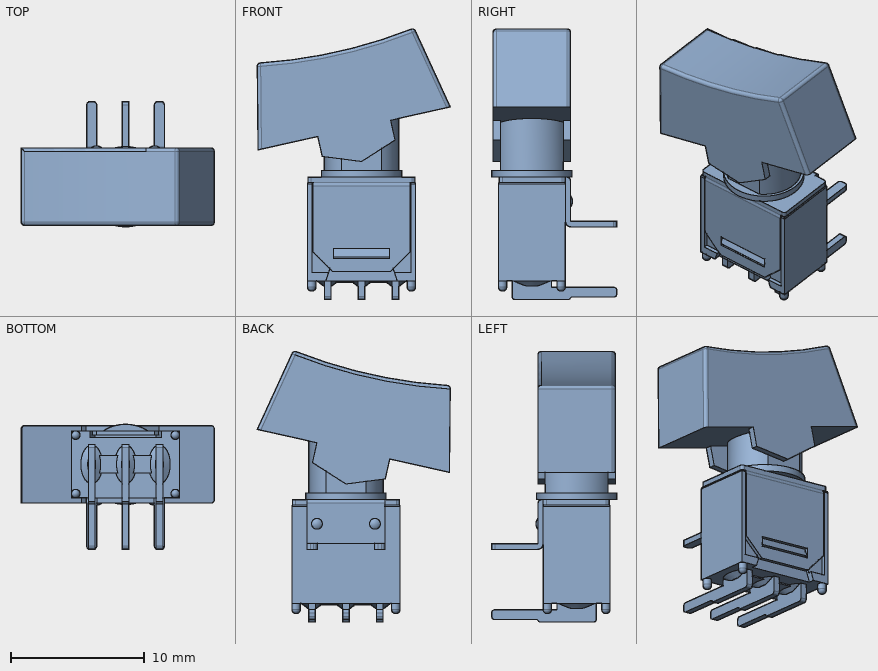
import cadquery as cq
import math


housing_length = 8.1
housing_depth = 5.02
housing_height = 7.36
housing_top_chamfer = 0.12
top_plate_inset = 0.05
housing_front = -housing_depth / 2
housing_back = housing_depth / 2

recess_length = 7.38
recess_depth = 0.3
recess_bottom = 0.65
notch_bottom_length = 5.35
notch_top_length = 4.53
notch_height = 1.21
notch_depth = 0.5

foot_diameter = 0.65
foot_straight_length = 0.45
foot_x = (housing_length - foot_diameter) / 2
foot_y = (housing_depth - foot_diameter) / 2

terminal_pitch = 2.53
terminal_thickness = 0.5
terminal_positions = [-terminal_pitch, 0, terminal_pitch]
pin_tip = 6.35
pin_top = -0.47
pin_bottom = -1.21
terminal_bottom = -1.4
terminal_half_depth = 1.48
terminal_step_y = 2.95
terminal_corner = 0.22
terminal_step = pin_bottom - terminal_bottom
pin_tip_radius = 0.25

resin_height = 0.38
resin_base_length = 1.62
resin_base_depth = 2.87
resin_tip_length = 0.6
resin_tip_depth = 1.3
resin_film_height = 0.1
resin_film_depth = resin_tip_depth

sheet = 0.38
front_sheet = recess_depth
front_shoulder_depth = 0.06
frame_top = housing_height + sheet
top_plate_length = housing_length - 2 * top_plate_inset
top_plate_front = housing_front + front_shoulder_depth
top_plate_corner = 0.25
front_plate_length = 7.25
front_plate_bottom = 0.7
front_plate_chamfer = 1.45
front_plate_shoulder = 7.1
back_plate_outer = housing_back + sheet
top_bend_radius = 0.26
bend_inner_radius = 0.06
bend_outer_radius = bend_inner_radius + sheet

window_length = 4.19
window_bottom = 1.65
window_top = 2.43
latch_bottom = 1.8

leg_width = 0.77
leg_thickness = 0.45
leg_top = 4.47
leg_bottom = leg_top - leg_thickness
leg_tip_radius = 0.26
back_plate_length = 2 * terminal_pitch + leg_width

dimple_diameter = 0.8
dimple_height = 0.16
dimple_x = 2.16
dimple_z = 5.95

collar_diameter = 6.0
collar_height = 0.5
stem_diameter = 5.58
stem_width = 4.71
stem_top = 12.55

rocker_tilt = 12.6
rocker_lowest_z = 8.92
rocker_width = 5.8
rocker_bottom_half = 7.36
rocker_bottom = 2.53
rocker_top_half = 6.0
rocker_top = 8.88
rocker_dip = 0.49
skirt_half = stem_diameter / 2
skirt_slope = 20.0
skirt_shoulder = skirt_half * math.tan(math.radians(skirt_slope))
rocker_fillet = 0.26


def centred_box(length, y_range, z_range):
    """Box centred on X = 0, between the given limits along Y and Z."""
    depth = y_range[1] - y_range[0]
    height = z_range[1] - z_range[0]
    solid = cq.Workplane("XY").box(length, depth, height, centered=(True, False, False))
    return solid.translate((0, y_range[0], z_range[0]))


def make_terminal(x):
    """Flat terminal whose pin points to +Y."""
    profile = (
        cq.Workplane("YZ")
        .moveTo(-terminal_half_depth, 0)
        .lineTo(-terminal_half_depth, terminal_bottom + terminal_corner)
        .radiusArc((-terminal_half_depth + terminal_corner, terminal_bottom), -terminal_corner)
        .lineTo(terminal_step_y - terminal_step, terminal_bottom)
        .lineTo(terminal_step_y, pin_bottom)
        .lineTo(pin_tip, pin_bottom)
        .lineTo(pin_tip, pin_top)
        .lineTo(terminal_half_depth, pin_top)
        .lineTo(terminal_half_depth, 0)
        .close()
    )
    terminal = profile.extrude(terminal_thickness / 2, both=True)
    terminal = terminal.faces(">Y").edges("|X").fillet(pin_tip_radius)
    return terminal.translate((x, 0, 0))


def make_foot():
    """Standoff foot with a round end, hanging from Z = 0."""
    radius = foot_diameter / 2
    return (
        cq.Workplane("XZ")
        .lineTo(radius, 0)
        .lineTo(radius, -foot_straight_length)
        .radiusArc((0, -foot_straight_length - radius), radius)
        .close()
        .revolve(360, (0, 0, 0), (0, 1, 0))
    )


def make_resin():
    """Resin mounds around the terminals, joined by a thin film."""
    film_length = terminal_positions[-1] - terminal_positions[0]
    film_y = (-resin_film_depth / 2, resin_film_depth / 2)
    resin = centred_box(film_length, film_y, (-resin_film_height, 0))
    mound = (
        cq.Workplane("XY")
        .ellipse(resin_base_length / 2, resin_base_depth / 2)
        .workplane(offset=-resin_height)
        .ellipse(resin_tip_length / 2, resin_tip_depth / 2)
        .loft(ruled=True)
    )
    for x in terminal_positions:
        resin = resin.union(mound.translate((x, 0, 0)))
    return resin


def make_latch():
    """Wedge that rises from the recess floor to the housing front, towards its lower end."""
    recess_floor = housing_front + recess_depth
    return (
        cq.Workplane("YZ")
        .moveTo(recess_floor, window_top)
        .lineTo(housing_front, latch_bottom)
        .lineTo(recess_floor, latch_bottom)
        .close()
        .extrude(window_length / 2, both=True)
    )


def make_housing():
    """Housing block with its front recess, latch, feet and resin."""
    body = centred_box(housing_length, (housing_front, housing_back), (0, housing_height))
    body = body.faces(">Z").edges().chamfer(housing_top_chamfer, top_plate_inset)
    recess_y = (housing_front, housing_front + recess_depth)
    body = body.cut(centred_box(recess_length, recess_y, (recess_bottom, housing_height)))
    notch = (
        cq.Workplane("XZ", origin=(0, housing_front, 0))
        .moveTo(-notch_bottom_length / 2, 0)
        .lineTo(notch_bottom_length / 2, 0)
        .lineTo(notch_top_length / 2, notch_height)
        .lineTo(-notch_top_length / 2, notch_height)
        .close()
        .extrude(-notch_depth)
    )
    body = body.cut(notch).union(make_latch()).union(make_resin())
    foot = make_foot()
    for x in (-foot_x, foot_x):
        for y in (-foot_y, foot_y):
            body = body.union(foot.translate((x, y, 0)))
    return body


def make_stem():
    """Round stem with two flats, from the frame top to the stem top."""
    height = stem_top - frame_top
    stem = cq.Workplane("XY").workplane(offset=frame_top).circle(stem_diameter / 2).extrude(height)
    flats = centred_box(stem_diameter, (-stem_width / 2, stem_width / 2), (frame_top, stem_top))
    return stem.intersect(flats)


def make_top_plate():
    """Plate over the housing with rounded corners."""
    plate = centred_box(top_plate_length, (top_plate_front, housing_back), (housing_height, frame_top))
    return plate.edges("|Z").fillet(top_plate_corner)


def make_front_plate():
    """Plate in the housing recess, with cut corners, a latch window and a sloped shoulder."""
    inner = housing_front + front_sheet
    plate = (
        cq.Workplane("YZ")
        .moveTo(housing_front, front_plate_bottom)
        .lineTo(housing_front, front_plate_shoulder)
        .lineTo(top_plate_front, housing_height)
        .lineTo(inner, housing_height)
        .lineTo(inner, front_plate_bottom)
        .close()
        .extrude(front_plate_length / 2, both=True)
    )
    plate = plate.faces("<Z").edges("|Y").chamfer(front_plate_chamfer)
    return plate.cut(centred_box(window_length, (housing_front, inner), (window_bottom, window_top)))


def make_leg():
    """Leg that hangs from the back plate and bends to point to +Y, with a rounded tip."""
    leg = (
        cq.Workplane("YZ")
        .moveTo(housing_back, dimple_z)
        .lineTo(housing_back, leg_bottom + bend_outer_radius)
        .radiusArc((housing_back + bend_outer_radius, leg_bottom), -bend_outer_radius)
        .lineTo(pin_tip, leg_bottom)
        .lineTo(pin_tip, leg_top)
        .lineTo(back_plate_outer + bend_inner_radius, leg_top)
        .radiusArc((back_plate_outer, leg_top + bend_inner_radius), bend_inner_radius)
        .lineTo(back_plate_outer, dimple_z)
        .close()
        .extrude(leg_width / 2, both=True)
    )
    return leg.faces(">Y").edges("|Z").fillet(leg_tip_radius)


def make_dimple():
    """Shallow spherical dimple centred on the Y axis, standing out of the back plate."""
    radius = dimple_diameter / 2
    sphere_radius = (radius**2 + dimple_height**2) / (2 * dimple_height)
    return (
        cq.Workplane("XY")
        .moveTo(0, back_plate_outer)
        .lineTo(radius, back_plate_outer)
        .radiusArc((0, back_plate_outer + dimple_height), -sphere_radius)
        .close()
        .revolve(360, (0, 0, 0), (0, 1, 0))
    )


def make_back_plate():
    """Plate behind the housing, with two legs and two dimples."""
    plate_y = (housing_back, back_plate_outer)
    plate = centred_box(back_plate_length, plate_y, (leg_top, frame_top))
    plate = plate.faces(">Y").edges(">Z").fillet(top_bend_radius)
    leg = make_leg()
    dimple = make_dimple()
    for side in (-1, 1):
        plate = plate.union(leg.translate((side * terminal_pitch, 0, 0)))
        plate = plate.union(dimple.translate((side * dimple_x, 0, dimple_z)))
    return plate


def make_frame():
    """Frame that clasps the housing and carries the bushing."""
    collar = cq.Workplane("XY").workplane(offset=frame_top).circle(collar_diameter / 2)
    frame = make_top_plate().union(make_front_plate()).union(make_back_plate())
    return frame.union(collar.extrude(collar_height)).union(make_stem())


def make_rocker():
    """Tilted rocker whose two skirts straddle the flats of the stem."""
    rocker = (
        cq.Workplane("XZ")
        .lineTo(skirt_half, skirt_shoulder)
        .lineTo(skirt_half, rocker_bottom)
        .lineTo(rocker_bottom_half, rocker_bottom)
        .lineTo(rocker_top_half, rocker_top)
        .threePointArc((0, rocker_top - rocker_dip), (-rocker_top_half, rocker_top))
        .lineTo(-rocker_bottom_half, rocker_bottom)
        .lineTo(-skirt_half, rocker_bottom)
        .lineTo(-skirt_half, skirt_shoulder)
        .close()
        .extrude(rocker_width / 2, both=True)
    )
    side_x = (rocker_bottom_half + rocker_top_half) / 2
    side_z = (rocker_bottom + rocker_top) / 2
    half_width = rocker_width / 2
    rounded = rocker.faces(cq.selectors.NearestToPointSelector((0, 0, rocker_top))).edges()
    for x, y in [(-side_x, -half_width), (side_x, -half_width), (side_x, half_width)]:
        rounded = rounded.add(rocker.edges(cq.selectors.NearestToPointSelector((x, y, side_z))))
    rocker = rounded.fillet(rocker_fillet)

    skirt_y = (-stem_width / 2, stem_width / 2)
    rocker = rocker.cut(centred_box(stem_diameter, skirt_y, (0, rocker_bottom)))
    rocker = rocker.rotate((0, 0, 0), (0, 1, 0), -rocker_tilt).translate((0, 0, rocker_lowest_z))
    return rocker.cut(make_stem())


terminals = [make_terminal(x) for x in terminal_positions]
housing = make_housing()
for terminal in terminals:
    housing = housing.cut(terminal)
frame = make_frame()
rocker = make_rocker()

result = cq.Compound.makeCompound(
    [housing.val(), frame.val(), rocker.val(), *[terminal.val() for terminal in terminals]]
)